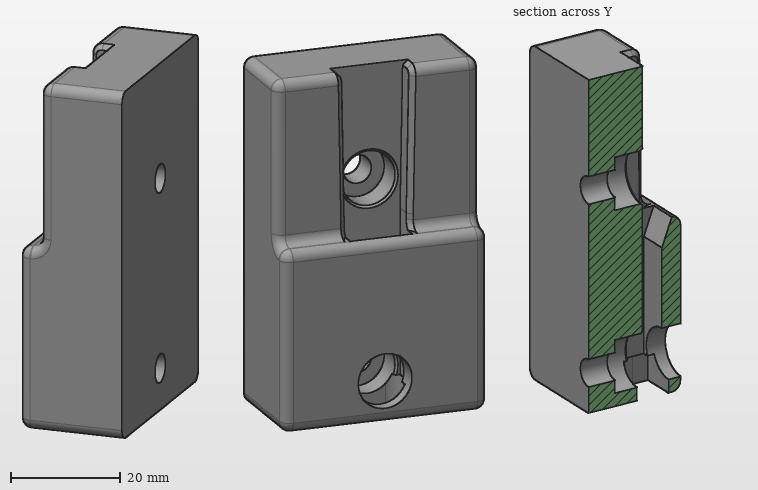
import cadquery as cq

depth = 20.0
width = 40.0
height = 66.5

step_depth = 4.1
shoulder_height = 35.0
edge_radius = 2.0

channel_depth = 4.1
channel_top_width = 13.2
channel_low_width = 12.2
channel_taper_start = 38.1
lead_in_drop = 5.65
channel_floor = step_depth + channel_depth
mouth_chamfer = 1.0

screw_diameter = 5.45
head_diameter = 10.5
head_depth = 6.0
head_chamfer = 0.43
screw_heights = (8.0, 44.4)

socket_width = 13.95
socket_height = 6.0
socket_front = 2.65
socket_back = 9.45
socket_corner_radius = 3.3

overshoot = 0.65


def make_body():
    """Stepped block with rounded outer edges; the back edges stay sharp."""
    body = (
        cq.Workplane("XZ")
        .moveTo(0, 0)
        .lineTo(depth, 0)
        .lineTo(depth, height)
        .lineTo(step_depth, height)
        .lineTo(step_depth, shoulder_height)
        .lineTo(0, shoulder_height)
        .close()
        .extrude(width / 2, both=True)
    )
    return body.edges("not >X").fillet(edge_radius)


def slot_outline(half_low, half_top, z_low, z_top):
    """Corners in Y and Z of a symmetric trapezoid between two heights."""
    return [(-half_low, z_low), (half_low, z_low), (half_top, z_top), (-half_top, z_top)]


def make_channel():
    """Straight lower passage and a tapered upper slot open to the front."""
    passage = cq.Workplane("XY").box(
        channel_depth, channel_low_width, channel_taper_start + overshoot, centered=(False, True, False)
    ).translate((step_depth, 0, -overshoot))
    entry = cq.Workplane("XY").box(
        channel_floor, channel_low_width, channel_taper_start - shoulder_height, centered=(False, True, False)
    ).translate((0, 0, shoulder_height))
    slot = (
        cq.Workplane("YZ")
        .polyline(slot_outline(channel_low_width / 2, channel_top_width / 2, channel_taper_start, height))
        .close()
        .extrude(channel_floor)
    )
    lead_in = (
        cq.Workplane("XZ")
        .moveTo(edge_radius, shoulder_height)
        .lineTo(step_depth, shoulder_height)
        .lineTo(step_depth, shoulder_height - lead_in_drop)
        .close()
        .extrude(channel_low_width / 2, both=True)
    )
    return passage.union(entry).union(slot).union(lead_in)


def bevel_arc(center_x, center_z, start, surface_radius, inner_radius, half_width):
    """Bevel cutter following a rounded Y-direction edge for a quarter turn.

    It is widest on the surface radius and narrows to the slot on the inner radius;
    start is the direction, in degrees about -Y, where the quarter turn begins.
    """
    profile = (
        cq.Workplane("XY")
        .moveTo(surface_radius, -half_width - mouth_chamfer)
        .lineTo(inner_radius, -half_width)
        .lineTo(inner_radius, half_width)
        .lineTo(surface_radius, half_width + mouth_chamfer)
        .close()
    )
    turned = profile.revolve(90, (0, 0, 0), (0, -1, 0))
    return turned.rotate((0, 0, 0), (0, -1, 0), start).translate((center_x, 0, center_z))


def make_mouth_bevel():
    """Bevel the slot rim on the front face, the two rounds and the top face."""
    half_low = channel_low_width / 2
    half_top = channel_top_width / 2
    round_top = height - edge_radius
    round_low = shoulder_height + edge_radius

    front = (
        cq.Workplane("YZ", origin=(step_depth, 0, 0))
        .polyline(slot_outline(half_low + mouth_chamfer, half_top + mouth_chamfer, channel_taper_start, round_top))
        .close()
        .workplane(offset=mouth_chamfer)
        .polyline(slot_outline(half_low, half_top, channel_taper_start, round_top))
        .close()
        .loft(ruled=True)
    )
    front_low = (
        cq.Workplane("YZ", origin=(step_depth, 0, 0))
        .center(0, (round_low + channel_taper_start) / 2)
        .rect(channel_low_width + 2 * mouth_chamfer, channel_taper_start - round_low)
        .workplane(offset=mouth_chamfer)
        .rect(channel_low_width, channel_taper_start - round_low)
        .loft(ruled=True)
    )
    top = (
        cq.Workplane("YZ", origin=(step_depth + edge_radius, 0, 0))
        .polyline(slot_outline(half_top, half_top + mouth_chamfer, height - mouth_chamfer, height))
        .close()
        .extrude(channel_floor - step_depth - edge_radius)
    )
    upper_round = bevel_arc(
        step_depth + edge_radius, round_top, 90, edge_radius, edge_radius - mouth_chamfer, half_top
    )
    lower_round = bevel_arc(
        step_depth - edge_radius, round_low, -90, edge_radius, edge_radius + mouth_chamfer, half_low
    )
    above_shoulder = cq.Workplane("XY").box(depth, width, height, centered=(False, True, False))
    lower_round = lower_round.intersect(above_shoulder.translate((0, 0, shoulder_height)))
    return (front, front_low, top, upper_round, lower_round)


def make_screw_hole(z):
    """Through hole with a head recess reaching in from the front."""
    seat = channel_floor + head_depth
    shank = cq.Workplane("YZ").center(0, z).circle(screw_diameter / 2).extrude(depth)
    head = cq.Workplane("YZ").center(0, z).circle(head_diameter / 2).extrude(seat)
    bevel = cq.Workplane("XY").add(
        cq.Solid.makeCone(
            head_diameter / 2 + head_chamfer,
            head_diameter / 2,
            head_chamfer,
            cq.Vector(channel_floor, 0, z),
            cq.Vector(1, 0, 0),
        )
    )
    return shank.union(head).union(bevel)


def make_socket():
    """Blind socket in the bottom face with rounded rear corners."""
    return (
        cq.Workplane("XY")
        .box(socket_back - socket_front, socket_width, socket_height, centered=(False, True, False))
        .translate((socket_front, 0, 0))
        .edges("|Z and >X")
        .fillet(socket_corner_radius)
    )


result = make_body().cut(make_channel()).cut(make_socket())
for bevel_cutter in make_mouth_bevel():
    result = result.cut(bevel_cutter)
for screw_height in screw_heights:
    result = result.cut(make_screw_hole(screw_height))